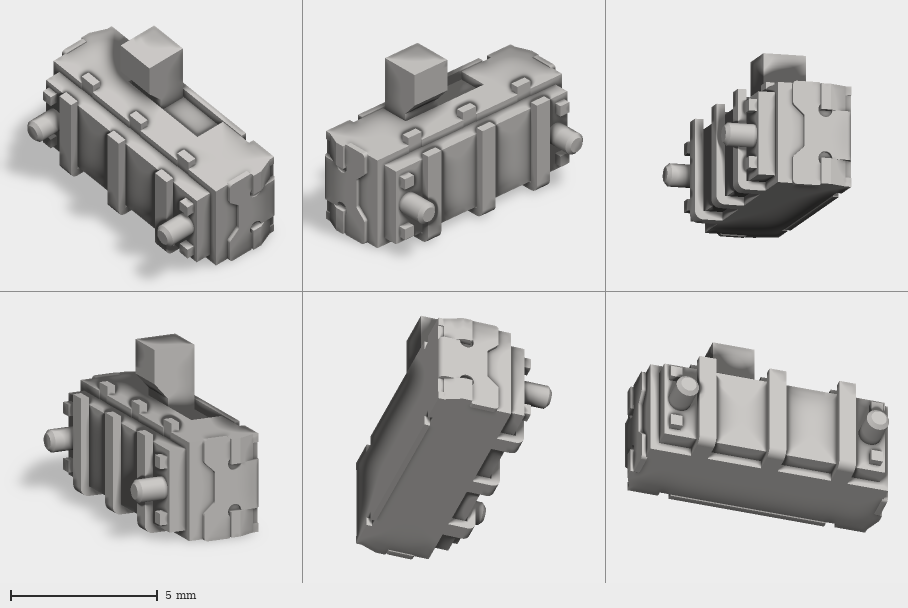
import cadquery as cq


BODY_LENGTH = 8.5
BODY_HEIGHT = 3.5
BODY_FRONT = -2.62
BASE_LENGTH = 7.88
BASE_HEIGHT = 2.9
BASE_FRONT = -3.22

SHEET = 0.2
COVER_LENGTH = 8.8
COVER_HEIGHT = 3.6
PLATE_HEIGHT = 2.87
PLATE_TAB_LENGTH = 5.56
TAB_SLOT_LENGTH = 6.32
FLAP_FRONT = -2.12
FLAP_FRONT_RADIUS = 0.13
FLAP_BACK_RADIUS = 0.07
FLAP_NOTCH_DEPTH = 0.41
FLAP_NOTCH_MIDDLE = 0.08
FLAP_NOTCH_INNER_HALF = 0.55
FLAP_NOTCH_OUTER_HALF = 0.92

HOOK_SPAN = 9.0
HOOK_CREST = -0.8
HOOK_FRONT = -1.14
HOOK_INNER_Z = 0.85
RELIEF_RADIUS = 0.25
RELIEF_Y = -0.97

GROOVE_LENGTH = 3.6
GROOVE_FRONT = -1.35
GROOVE_DEPTH = 0.32
KNOB_WIDTH = 1.5
KNOB_X = -1.0
KNOB_BACK = -0.24
KNOB_FRONT = -1.75
KNOB_NECK_FRONT = -1.25
KNOB_TOP = 3.75
KNOB_SLOPE_TOP = 2.53
KNOB_SLOPE_BOTTOM = 1.96

TERMINAL_PITCH = 2.5
TERMINAL_WIDTH = 0.6
TERMINAL_THICKNESS = 0.3
TERMINAL_FRONT = -3.6
STUB_FRONT = -2.6
STUB_TOP = 2.05

PIN_X = 3.4
PIN_RADIUS = 0.4
PIN_CHAMFER = 0.13
PIN_TIP = -4.3
STANDOFF_SIZE = 0.41
STANDOFF_X = 3.58
STANDOFF_Z = 1.0
STANDOFF_FRONT = -3.5

BODY_TOP = BODY_HEIGHT / 2
BODY_END = BODY_LENGTH / 2
GROOVE_FLOOR = BODY_TOP - GROOVE_DEPTH
COVER_END = COVER_LENGTH / 2
FLAP_INSIDE = COVER_END - SHEET


def block(x_range, y_range, z_range):
    """Box between the given limits on each axis."""
    corner = (x_range[0], y_range[0], z_range[0])
    size = (x_range[1] - x_range[0], y_range[1] - y_range[0], z_range[1] - z_range[0])
    return cq.Workplane("XY").box(*size, centered=False).translate(corner)


def centred_block(length, y_range, height):
    """Box centred on X = 0 and Z = 0."""
    return block((-length / 2, length / 2), y_range, (-height / 2, height / 2))


def both_ends(shape):
    """The shape together with its mirror image at the other end in X."""
    return shape.union(shape.mirror("YZ"))


def terminal_positions():
    return [step * TERMINAL_PITCH for step in (-1, 0, 1)]


def terminal_x_range(x):
    return (x - TERMINAL_WIDTH / 2, x + TERMINAL_WIDTH / 2)


def make_hook():
    """Wedge on the +X end of the body, above and below the flap's middle."""
    wedge = (
        cq.Workplane("XY")
        .workplane(offset=HOOK_INNER_Z)
        .moveTo(FLAP_INSIDE, -SHEET)
        .lineTo(BODY_END, -SHEET)
        .lineTo(HOOK_SPAN / 2, HOOK_CREST)
        .lineTo(HOOK_SPAN / 2, HOOK_FRONT)
        .lineTo(FLAP_INSIDE, HOOK_FRONT)
        .close()
        .extrude(BODY_TOP - HOOK_INNER_Z)
    )
    return wedge.union(wedge.mirror("XY"))


def make_body():
    body = centred_block(BODY_LENGTH, (BODY_FRONT, 0), BODY_HEIGHT)
    body = body.cut(centred_block(BODY_LENGTH, (-SHEET, 0), PLATE_HEIGHT))
    body = body.cut(centred_block(TAB_SLOT_LENGTH, (-SHEET, 0), BODY_HEIGHT))
    groove = block(
        (-GROOVE_LENGTH / 2, GROOVE_LENGTH / 2),
        (GROOVE_FRONT, -SHEET),
        (GROOVE_FLOOR, BODY_TOP),
    )
    body = body.cut(groove)
    for x in terminal_positions():
        slot = block(terminal_x_range(x), (BODY_FRONT, STUB_FRONT), (BASE_HEIGHT / 2, BODY_TOP))
        body = body.cut(slot)
    base = centred_block(BASE_LENGTH, (BASE_FRONT, BODY_FRONT), BASE_HEIGHT)
    return body.union(base).union(both_ends(make_hook()))


def make_flap():
    """Flap of the cover on the +X end, with its bend into the back plate."""
    top = COVER_HEIGHT / 2
    notch_back = FLAP_FRONT + FLAP_NOTCH_DEPTH
    outline = [
        (-SHEET, HOOK_INNER_Z),
        (HOOK_FRONT, HOOK_INNER_Z),
        (HOOK_FRONT, top),
        (FLAP_FRONT, top),
        (FLAP_FRONT, FLAP_NOTCH_MIDDLE + FLAP_NOTCH_OUTER_HALF),
        (notch_back, FLAP_NOTCH_MIDDLE + FLAP_NOTCH_INNER_HALF),
        (notch_back, FLAP_NOTCH_MIDDLE - FLAP_NOTCH_INNER_HALF),
        (FLAP_FRONT, FLAP_NOTCH_MIDDLE - FLAP_NOTCH_OUTER_HALF),
        (FLAP_FRONT, -top),
        (HOOK_FRONT, -top),
        (HOOK_FRONT, -HOOK_INNER_Z),
        (-SHEET, -HOOK_INNER_Z),
    ]
    flap = cq.Workplane("YZ").workplane(offset=FLAP_INSIDE).polyline(outline).close().extrude(SHEET)
    front_region = cq.selectors.BoxSelector(
        (FLAP_INSIDE, FLAP_FRONT - SHEET, -COVER_HEIGHT),
        (COVER_END, notch_back + SHEET, COVER_HEIGHT),
    )
    flap = flap.edges("|X").edges(front_region).fillet(FLAP_FRONT_RADIUS)
    flap = flap.edges("|X").edges(">Z or <Z").edges(">Y").fillet(FLAP_BACK_RADIUS)
    relief = (
        cq.Workplane("YZ")
        .workplane(offset=FLAP_INSIDE)
        .pushPoints([(RELIEF_Y, HOOK_INNER_Z), (RELIEF_Y, -HOOK_INNER_Z)])
        .circle(RELIEF_RADIUS)
        .extrude(SHEET)
    )
    bend = (
        cq.Workplane("XY")
        .workplane(offset=-HOOK_INNER_Z)
        .moveTo(FLAP_INSIDE, -SHEET)
        .lineTo(COVER_END, -SHEET)
        .radiusArc((FLAP_INSIDE, 0), -SHEET)
        .close()
        .extrude(2 * HOOK_INNER_Z)
    )
    return flap.cut(relief).union(bend)


def make_cover():
    plate = centred_block(2 * FLAP_INSIDE, (-SHEET, 0), PLATE_HEIGHT)
    tabs = centred_block(PLATE_TAB_LENGTH, (-SHEET, 0), COVER_HEIGHT)
    return plate.union(tabs).union(both_ends(make_flap()))


def make_knob():
    outline = [
        (KNOB_BACK, GROOVE_FLOOR),
        (KNOB_BACK, KNOB_TOP),
        (KNOB_FRONT, KNOB_TOP),
        (KNOB_FRONT, KNOB_SLOPE_TOP),
        (KNOB_NECK_FRONT, KNOB_SLOPE_BOTTOM),
        (KNOB_NECK_FRONT, GROOVE_FLOOR),
    ]
    start = KNOB_X - KNOB_WIDTH / 2
    return cq.Workplane("YZ").workplane(offset=start).polyline(outline).close().extrude(KNOB_WIDTH)


def make_lead(x):
    """J-shaped lead that leaves the body at the bottom and rises in front of the base."""
    bottom = -BODY_TOP
    leg_back = TERMINAL_FRONT + TERMINAL_THICKNESS
    foot_top = bottom + TERMINAL_THICKNESS
    return (
        cq.Workplane("YZ")
        .workplane(offset=x - TERMINAL_WIDTH / 2)
        .moveTo(BODY_FRONT, bottom)
        .lineTo(BODY_FRONT, foot_top)
        .lineTo(leg_back, foot_top)
        .lineTo(leg_back, BODY_TOP)
        .lineTo(TERMINAL_FRONT, BODY_TOP)
        .lineTo(TERMINAL_FRONT, foot_top)
        .radiusArc((leg_back, bottom), -TERMINAL_THICKNESS)
        .close()
        .extrude(TERMINAL_WIDTH)
    )


def make_stub(x):
    """Upper end of a terminal, standing on top of the body."""
    y_range = (STUB_FRONT, STUB_FRONT + TERMINAL_THICKNESS)
    return block(terminal_x_range(x), y_range, (BODY_TOP, STUB_TOP))


def make_pin(x):
    pin = (
        cq.Workplane("XZ", origin=(x, BASE_FRONT, 0))
        .circle(PIN_RADIUS)
        .extrude(BASE_FRONT - PIN_TIP)
    )
    return pin.faces("<Y").chamfer(PIN_CHAMFER)


def make_standoff(x, z):
    half = STANDOFF_SIZE / 2
    return block((x - half, x + half), (STANDOFF_FRONT, BASE_FRONT), (z - half, z + half))


result = make_body().union(make_cover()).union(make_knob())
for terminal_x in terminal_positions():
    result = result.union(make_lead(terminal_x)).union(make_stub(terminal_x))
for side in (-1, 1):
    result = result.union(make_pin(side * PIN_X))
    for level in (-1, 1):
        result = result.union(make_standoff(side * STANDOFF_X, level * STANDOFF_Z))